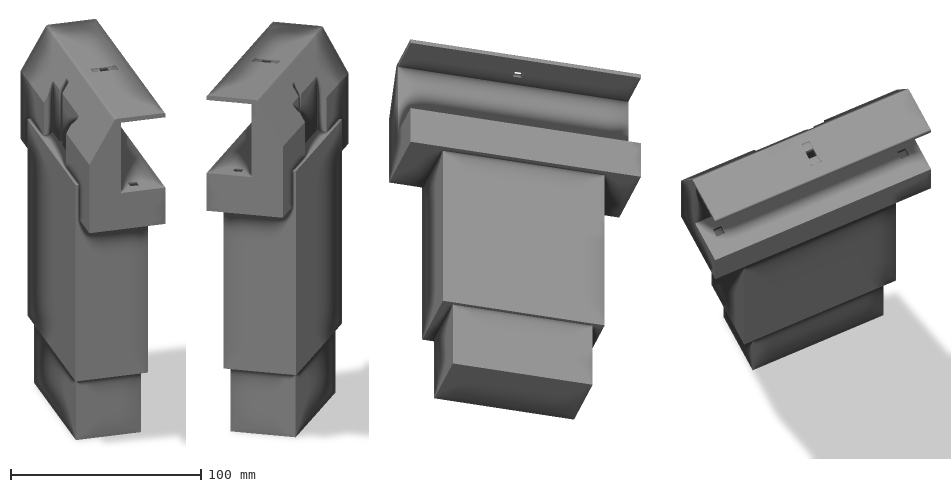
import cadquery as cq
import math

height = 194.0
head_width = 126.0
depth = 43.7

plug_width = 76.5
plug_front = 2.0
plug_back = 37.6
plug_height = 36.7

housing_width = 88.5
housing_back = 39.8
housing_top = 150.0

bar_front = 2.0
bar_bottom = 130.0
bar_top = 151.0

wall_back = 19.2
slope_bottom = 169.5
slope_angle = 60.0
slope_edge_radius = 1.7
plate_thickness = 2.5
plate_edge_radius = 0.8

pocket_neck_width = 41.1
pocket_head_width = 47.7
pocket_flare_start = 4.5
pocket_flare_end = 7.4
pocket_back = 8.0

key_width = 4.7
key_center_x = -9.1
key_back = 11.6

window_size = 4.7
window_center_y = 29.0
recess_depth = 0.4
recess_head_width = 6.8
recess_head_length = 0.8

bar_recess_size = 4.7
bar_recess_x = 53.8
bar_recess_back = 31.2
bar_recess_depth = 2.0


def block(width, front, back, bottom, top, center_x=0.0):
    """Box given by its width, its front and back, and its bottom and top."""
    return cq.Workplane("XY").box(
        width, back - front, top - bottom, centered=(True, False, False)
    ).translate((center_x, front, bottom))


def make_head():
    """Wall and top plate as one profile drawn in YZ, with a rounded upper slope edge."""
    slope_top_y = bar_front + (height - slope_bottom) / math.tan(math.radians(slope_angle))
    plate_bottom = height - plate_thickness
    profile = [
        (bar_front, housing_top),
        (bar_front, slope_bottom),
        (slope_top_y, height),
        (depth, height),
        (depth, plate_bottom),
        (wall_back, plate_bottom),
        (wall_back, housing_top),
    ]
    head = cq.Workplane("YZ").polyline(profile).close().extrude(head_width / 2, both=True)
    slope_edge = cq.selectors.NearestToPointSelector((0, slope_top_y, height))
    plate_edge = cq.selectors.NearestToPointSelector((0, depth, height))
    head = head.edges(slope_edge).fillet(slope_edge_radius)
    return head.edges(plate_edge).fillet(plate_edge_radius)


def make_pocket():
    """Dovetail pocket with the keyway behind it, open at the front, down to the housing top."""
    neck = pocket_neck_width / 2
    head = pocket_head_width / 2
    outline = [
        (-neck, 0),
        (-neck, pocket_flare_start),
        (-head, pocket_flare_end),
        (-head, pocket_back),
        (head, pocket_back),
        (head, pocket_flare_end),
        (neck, pocket_flare_start),
        (neck, 0),
    ]
    pocket = (
        cq.Workplane("XY").workplane(offset=housing_top)
        .polyline(outline).close().extrude(height - housing_top)
    )
    return pocket.union(block(key_width, 0, key_back, housing_top, height, key_center_x))


def make_plate_slot():
    """Long shallow recess in the top plate with a square window through its middle."""
    half_window = window_size / 2
    half_recess = 3 * half_window
    recess = block(
        window_size, window_center_y - half_recess, window_center_y + half_recess,
        height - recess_depth, height,
    )
    recess_head = block(
        recess_head_width, window_center_y + half_recess - recess_head_length,
        window_center_y + half_recess, height - recess_depth, height,
    )
    window = block(
        window_size, window_center_y - half_window, window_center_y + half_window,
        height - plate_thickness, height,
    )
    return recess.union(recess_head).union(window)


def make_bar_recesses():
    """Pair of blind square recesses sunk into the top of the crossbar."""
    front = bar_recess_back - bar_recess_size
    bottom = bar_top - bar_recess_depth
    left = block(bar_recess_size, front, bar_recess_back, bottom, bar_top, -bar_recess_x)
    return left.union(left.mirror("YZ"))


plug = block(plug_width, plug_front, plug_back, 0, plug_height)
housing = block(housing_width, 0, housing_back, plug_height, housing_top)
crossbar = block(head_width, bar_front, depth, bar_bottom, bar_top)

result = (
    make_head()
    .union(crossbar)
    .cut(make_pocket())
    .union(housing)
    .union(plug)
    .cut(make_plate_slot())
    .cut(make_bar_recesses())
)